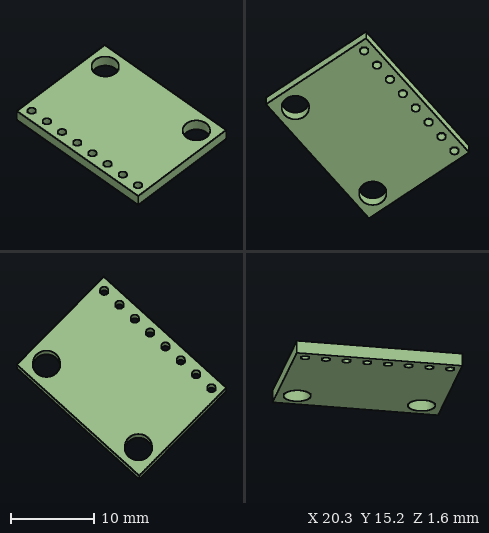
import cadquery as cq

length = 20.32
width = 15.25
thickness = 1.6

pin_count = 8
pin_diameter = 1.02
pin_pitch = length / pin_count
pin_edge_distance = pin_pitch / 2

mount_diameter = 3.3
mount_edge_distance = pin_pitch

board = cq.Workplane("XY").box(length, width, thickness)


def drill(body, centers, diameter):
    """Cut through holes at the given XY centers."""
    return body.faces(">Z").workplane(origin=(0, 0, 0)).pushPoints(centers).hole(diameter)


pin_y = pin_edge_distance - width / 2
first_pin_x = pin_edge_distance - length / 2
pin_centers = [(first_pin_x + i * pin_pitch, pin_y) for i in range(pin_count)]

mount_x = length / 2 - mount_edge_distance
mount_y = width / 2 - mount_edge_distance
mount_centers = [(-mount_x, mount_y), (mount_x, mount_y)]

board = drill(board, pin_centers, pin_diameter)
result = drill(board, mount_centers, mount_diameter)